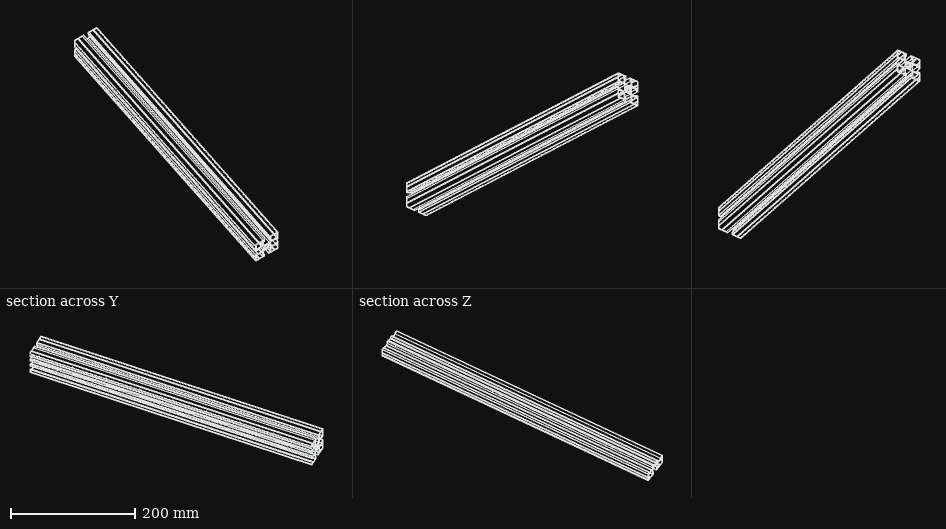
import cadquery as cq
import math

length = 500.0
side = 45.0
half_side = side / 2
corner_radius = 2.5
outer_wall = 1.4

opening_half = 8.5 / 2
lip_depth = 5.0
lip_radius = 1.0
slot_half = 13.0 / 2
slot_wall = 2.25
floor_height = 14.5 / 2
floor_half = 9.5 / 2

undercut_half = 8.0
undercut_bottom = undercut_half + 1.75
undercut_shoulder = 10.5
undercut_top = 11.0

chamber_near = slot_half + slot_wall
chamber_far = half_side - outer_wall
chamber_corner_radius = 1.5
lip_thickness = 2.5
flare_near = opening_half + lip_thickness
flare_start = 19.5
flare_end = 20.0
rib_position = 15.0
rib_width = 1.5
rib_height = 0.5

bore_diameter = 7.0
pocket_inner = 4.0
pocket_outer = 5.0
pocket_end_gap = 1.0


def section():
    """Sketch plane across the bar at its -X end."""
    return cq.Workplane("YZ").workplane(offset=-length / 2)


def slot():
    """T-slot through the +Z face, with rounded lips and undercut floor corners."""
    lip_bottom = half_side - lip_depth
    arc_middle = lip_radius * (1 - math.sin(math.pi / 4))
    half_outline = (
        section()
        .moveTo(0, half_side)
        .lineTo(opening_half, half_side)
        .lineTo(opening_half, lip_bottom + lip_radius)
        .threePointArc(
            (opening_half + arc_middle, lip_bottom + arc_middle),
            (opening_half + lip_radius, lip_bottom),
        )
        .lineTo(slot_half, lip_bottom)
        .lineTo(slot_half, undercut_top)
        .lineTo(undercut_half, undercut_shoulder)
        .lineTo(undercut_half, undercut_bottom)
        .lineTo(floor_half, floor_height)
        .lineTo(0, floor_height)
        .close()
        .extrude(length)
    )
    return half_outline.union(half_outline.mirror("XZ"))


def core_pocket():
    """Thin pocket between the bore and the +Z slot floor."""
    inner_half = pocket_inner - pocket_end_gap
    outer_half = pocket_outer - pocket_end_gap
    corners = [
        (inner_half, pocket_inner),
        (outer_half, pocket_outer),
        (-outer_half, pocket_outer),
        (-inner_half, pocket_inner),
    ]
    return section().polyline(corners).close().extrude(length)


def chamber():
    """Hollow in the +Y +Z corner, symmetric about the diagonal, with a rib on each outer wall."""
    rib_start = rib_position - rib_width / 2
    rib_end = rib_position + rib_width / 2
    rib_tip = chamber_far - rib_height
    upper_edge = [
        (chamber_near, flare_start),
        (flare_near, flare_end),
        (flare_near, chamber_far),
        (rib_start, chamber_far),
        (rib_start, rib_tip),
        (rib_end, rib_tip),
        (rib_end, chamber_far),
    ]
    right_edge = [(z, y) for y, z in reversed(upper_edge)]
    arc_start = chamber_far - chamber_corner_radius
    arc_middle = arc_start + chamber_corner_radius * math.sin(math.pi / 4)
    outline = section().moveTo(chamber_near, chamber_near)
    for point in upper_edge:
        outline = outline.lineTo(*point)
    outline = outline.lineTo(arc_start, chamber_far)
    outline = outline.threePointArc((arc_middle, arc_middle), (chamber_far, arc_start))
    for point in right_edge:
        outline = outline.lineTo(*point)
    return outline.close().extrude(length)


body = cq.Workplane("XY").box(length, side, side).edges("|X").fillet(corner_radius)
bore = section().circle(bore_diameter / 2).extrude(length)
body = body.cut(bore)

cutters = (slot(), core_pocket(), chamber())
for quarter in range(4):
    for cutter in cutters:
        body = body.cut(cutter.rotate((0, 0, 0), (1, 0, 0), 90 * quarter))

result = body